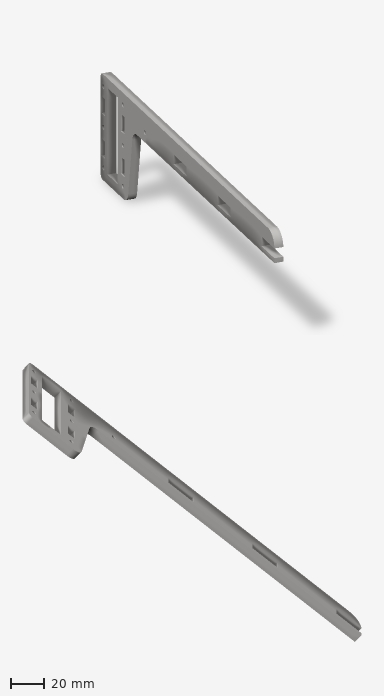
import cadquery as cq

length = 267.8
thickness = 6.0
height = 70.0
arm_height = 19.3
arm_bottom = height - arm_height

head_bottom_width = 41.5
head_top_width = 49.8
left_corner_radius = 3.0
slope_radius = 7.0
tip_radius = 10.0

head_middle = height / 2
window_left = 10.5
window_width = 15.3
window_height = 57.3
column_positions = (4.3, 34.3)
hole_diameter = 3.0
hole_pitch = 26.8
head_slot_width = 5.5
head_slot_height = 11.2
head_slot_pitch = 28.0

arm_hole_x = 68.3
arm_hole_z = height - 12.9
arm_slot_length = 20.4
arm_slot_height = 6.5
arm_slot_start = 112.2
arm_slot_pitch = 67.8
arm_slot_count = 3
arm_slot_z = height - 12.9


def extrude_through(sketch):
    """Extrude an XZ sketch along +Y through the plate thickness."""
    return sketch.extrude(-thickness)


def box_opening(center_x, center_z, size_x, size_z):
    return extrude_through(cq.Workplane("XZ").center(center_x, center_z).rect(size_x, size_z))


def round_hole(center_x, center_z):
    return extrude_through(cq.Workplane("XZ").center(center_x, center_z).circle(hole_diameter / 2))


def make_plate():
    outline = [
        (0, 0),
        (head_bottom_width, 0),
        (head_top_width, arm_bottom),
        (length, arm_bottom),
        (length, height),
        (0, height),
    ]
    plate = extrude_through(cq.Workplane("XZ").polyline(outline).close())
    plate = plate.edges("|Y").edges("<X").fillet(left_corner_radius)
    for x, z in ((head_bottom_width, 0), (head_top_width, arm_bottom)):
        plate = plate.edges(cq.NearestToPointSelector((x, thickness / 2, z))).fillet(slope_radius)
    return plate.edges("|Y").edges(">X").edges(">Z").fillet(tip_radius)


def cut_head_openings(plate):
    plate = plate.cut(box_opening(window_left + window_width / 2, head_middle, window_width, window_height))
    for x in column_positions:
        for row in (-1, 0, 1):
            plate = plate.cut(round_hole(x, head_middle + row * hole_pitch))
        for side in (-1, 1):
            slot_z = head_middle + side * head_slot_pitch / 2
            plate = plate.cut(box_opening(x, slot_z, head_slot_width, head_slot_height))
    return plate


def cut_arm_openings(plate):
    plate = plate.cut(round_hole(arm_hole_x, arm_hole_z))
    for index in range(arm_slot_count):
        slot_x = arm_slot_start + index * arm_slot_pitch + arm_slot_length / 2
        plate = plate.cut(box_opening(slot_x, arm_slot_z, arm_slot_length, arm_slot_height))
    return plate


result = cut_arm_openings(cut_head_openings(make_plate()))